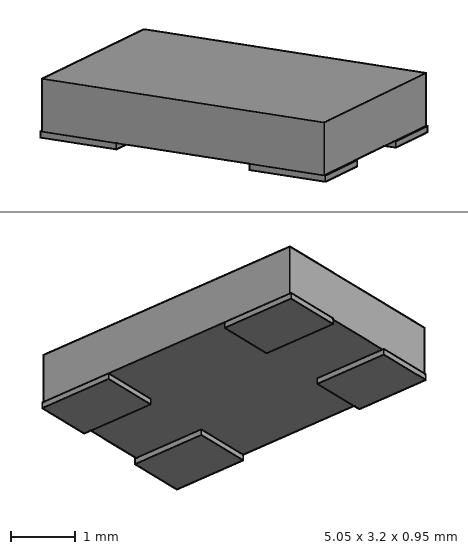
import cadquery as cq

overall_length = 5.05
width = 3.2
height = 0.95

pad_length = 1.35
pad_width = 1.0
pad_thickness = 0.1
pad_overhang = 0.025

housing_length = overall_length - 2 * pad_overhang
housing_height = height - pad_thickness


def make_housing():
    """Plain block resting on top of the pads."""
    block = cq.Workplane("XY").box(housing_length, width, housing_height, centered=(True, True, False))
    return block.translate((0, 0, pad_thickness))


def make_pad(x_side, y_side):
    """Flat contact pad at the corner given by the signs of X and Y."""
    center_x = x_side * (overall_length - pad_length) / 2
    center_y = y_side * (width - pad_width) / 2
    pad = cq.Workplane("XY").box(pad_length, pad_width, pad_thickness, centered=(True, True, False))
    return pad.translate((center_x, center_y, 0))


housing = make_housing()
pads = [make_pad(x_side, y_side) for x_side in (-1, 1) for y_side in (-1, 1)]

result = cq.Compound.makeCompound([housing.val(), *[pad.val() for pad in pads]])